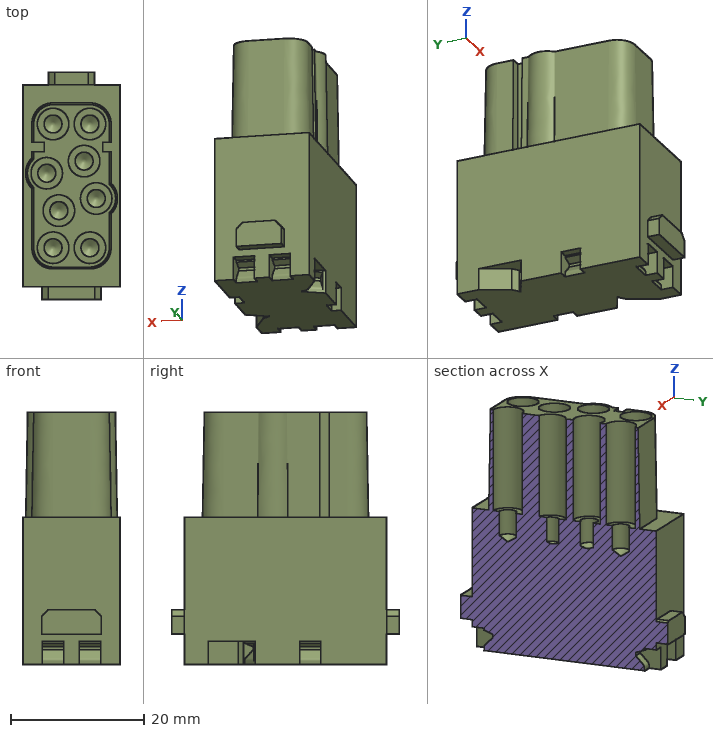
import cadquery as cq
import math

BODY_X = 14.6
BODY_Y = 30.35
TOTAL_Y = 34.2
BODY_Z = 22.15
TOTAL_Z = 37.95

CORNER_X = 2.77
CORNER_Y = 9.3
INNER_X = 1.9
INNER_Y = 3.7
SIDE_X = 3.7
SIDE_Y = 1.9
CAVITY_DIA = 4.75
CONTACT_HOLE_DIA = 2.7
CONTACT_HOLE_DEPTH = 3.8
DRILL_TIP_ANGLE = 118.0

PLUG_Z = TOTAL_Z - BODY_Z
PLUG_WALL_RADIUS = 3.2
PLUG_TAPER = 1.0
KEYWAY_Y = 5.85
KEYWAY_WIDTH = 1.45
KEYWAY_LEFT_FLOOR = -4.1
KEYWAY_RIGHT_FLOOR = 4.65

TAB_REACH = (TOTAL_Y - BODY_Y) / 2
TAB_BOTTOM = 4.6
TAB_TOP = 8.27
TAB_CHAMFER = 1.0
FRONT_TAB_WIDTH = 8.9
BACK_TAB_WIDTH = 6.98

WINDOW_WIDTH = 3.22
WINDOW_Z = 3.5
TERMINAL_REACH = 3.95
SIDE_WINDOW_ANGLE = 26.0
SIDE_WINDOW_LENGTH = 4.15

GROOVE_BOTTOM = 0.8
GROOVE_TOP = 3.22
GROOVE_FLOOR_BOTTOM = 2.25
GROOVE_FLOOR_TOP = 2.7
GROOVE_DEPTH = 1.45
GROOVE_LIP_RADIUS = 0.6

MOUTH_BACK_Y = 11.6
MOUTH_FRONT_Y = 4.5
MOUTH_KNEE = (-5.15, 7.1)


def contact_centres():
    """Axes of all eight contact cavities."""
    half = [(CORNER_X, CORNER_Y), (-CORNER_X, CORNER_Y), (INNER_X, INNER_Y), (-SIDE_X, SIDE_Y)]
    return half + [(-x, -y) for x, y in half]


def make_plug():
    """Tapered plug whose corners and side bulges wrap the contact cavities."""
    block = (
        cq.Sketch()
        .rect(2 * (CORNER_X + PLUG_WALL_RADIUS), 2 * (CORNER_Y + PLUG_WALL_RADIUS))
        .vertices()
        .fillet(PLUG_WALL_RADIUS)
        .reset()
        .push([(-SIDE_X, SIDE_Y), (SIDE_X, -SIDE_Y)])
        .circle(PLUG_WALL_RADIUS)
        .clean()
    )
    plug = cq.Workplane("XY").workplane(offset=BODY_Z).placeSketch(block).extrude(PLUG_Z, taper=PLUG_TAPER)
    for floor_x, side in ((KEYWAY_LEFT_FLOOR, -1), (KEYWAY_RIGHT_FLOOR, 1)):
        keyway = cq.Workplane("XY").box(BODY_X, KEYWAY_WIDTH, PLUG_Z, centered=(True, True, False))
        plug = plug.cut(keyway.translate((floor_x + side * BODY_X / 2, KEYWAY_Y, BODY_Z)))
    return plug


def make_tab(width, end):
    """Locking tab with chamfered upper corners; end is -1 or +1 along Y."""
    tab = (
        cq.Workplane("XY")
        .box(width, TAB_REACH, TAB_TOP - TAB_BOTTOM)
        .edges("|Y and >Z")
        .chamfer(TAB_CHAMFER)
    )
    return tab.translate((0, end * (BODY_Y + TAB_REACH) / 2, (TAB_TOP + TAB_BOTTOM) / 2))


def make_cavities():
    """Open cavities in the plug, each with a drilled contact hole in its floor."""
    radius = CONTACT_HOLE_DIA / 2
    tip = radius / math.tan(math.radians(DRILL_TIP_ANGLE / 2))
    profile = [
        (0, TOTAL_Z),
        (CAVITY_DIA / 2, TOTAL_Z),
        (CAVITY_DIA / 2, BODY_Z),
        (radius, BODY_Z),
        (radius, BODY_Z - CONTACT_HOLE_DEPTH),
        (0, BODY_Z - CONTACT_HOLE_DEPTH - tip),
    ]
    cavity = cq.Workplane("XZ").polyline(profile).close().revolve(360, (0, 0), (0, 1))
    return cq.Workplane("XY").pushPoints(contact_centres()).eachpoint(
        lambda place: cavity.val().located(place), combine=False
    )


def make_window(centre, angle, length):
    """Window cutter reaching `length` outward from a contact; it faces -Y turned by angle about Z."""
    depth = length - TERMINAL_REACH
    opening = cq.Workplane("XY").box(WINDOW_WIDTH, depth, WINDOW_Z, centered=(True, False, False))
    opening = opening.translate((0, -length, 0))
    floor_y = -TERMINAL_REACH
    groove = (
        cq.Workplane("YZ")
        .workplane(offset=-WINDOW_WIDTH / 2)
        .moveTo(floor_y, GROOVE_BOTTOM)
        .lineTo(floor_y + GROOVE_DEPTH, GROOVE_FLOOR_BOTTOM)
        .lineTo(floor_y + GROOVE_DEPTH, GROOVE_FLOOR_TOP)
        .lineTo(floor_y, GROOVE_TOP)
        .close()
        .extrude(WINDOW_WIDTH)
    )
    cutter = opening.union(groove)
    lip = cq.selectors.NearestToPointSelector((0, floor_y, GROOVE_BOTTOM))
    cutter = cutter.edges(lip).fillet(GROOVE_LIP_RADIUS)
    return cutter.rotate((0, 0, 0), (0, 0, 1), angle).translate((*centre, 0))


def make_side_window():
    """Turned window of the side contact with its flared mouth through the -X wall."""
    turn = math.radians(SIDE_WINDOW_ANGLE)
    floor_corners = []
    for across in (WINDOW_WIDTH / 2, -WINDOW_WIDTH / 2):
        x = -SIDE_X - TERMINAL_REACH * math.sin(turn) + across * math.cos(turn)
        y = SIDE_Y + TERMINAL_REACH * math.cos(turn) + across * math.sin(turn)
        floor_corners.append((x, y))
    wall_x = -BODY_X / 2
    outline = [(wall_x, MOUTH_BACK_Y), MOUTH_KNEE, *floor_corners, (wall_x, MOUTH_FRONT_Y)]
    mouth = cq.Workplane("XY").polyline(outline).close().extrude(WINDOW_Z)
    return mouth.union(make_window((-SIDE_X, SIDE_Y), 180 + SIDE_WINDOW_ANGLE, SIDE_WINDOW_LENGTH))


result = cq.Workplane("XY").box(BODY_X, BODY_Y, BODY_Z, centered=(True, True, False))
result = result.union(make_plug())
result = result.union(make_tab(FRONT_TAB_WIDTH, -1))
result = result.union(make_tab(BACK_TAB_WIDTH, 1))
result = result.cut(make_cavities())

windows = [
    make_window((-CORNER_X, -CORNER_Y), 0, BODY_Y / 2 - CORNER_Y),
    make_window((CORNER_X, -CORNER_Y), 0, BODY_Y / 2 - CORNER_Y),
    make_window((-INNER_X, -INNER_Y), -90, BODY_X / 2 - INNER_X),
    make_side_window(),
]
for window in windows:
    result = result.cut(window)
    result = result.cut(window.rotate((0, 0, 0), (0, 0, 1), 180))